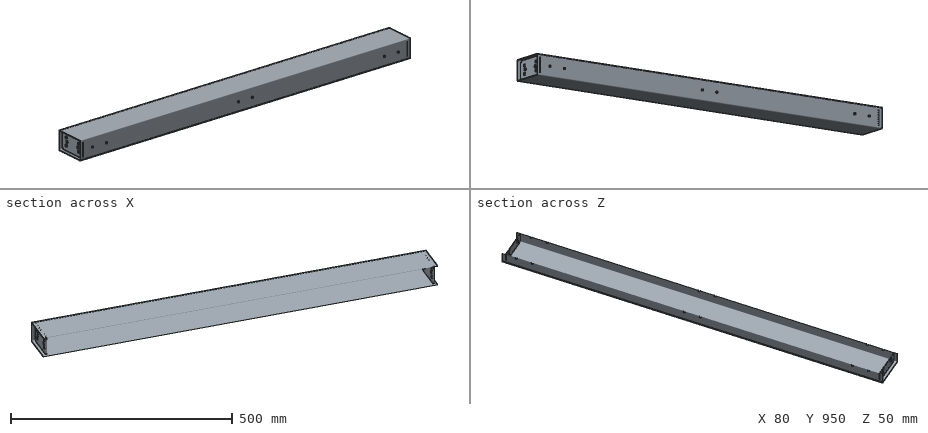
import cadquery as cq

LENGTH = 950.0
WIDTH = 80.0
HEIGHT = 50.0
WALL = 2.0
OUTER_RADIUS = WALL
INNER_RADIUS = WALL / 2

SIDE_HOLE_DIAMETER = 4.9
SIDE_HOLE_SPACING = 40.0
SIDE_PAIR_PITCH = 420.0

PLATE_THICKNESS = 2.4
PLATE_RECESS = 7.1
PLATE_GAP = 0.5
PLATE_CHAMFER = 5.0
PLATE_WIDTH = WIDTH - 2 * (WALL + PLATE_GAP)
PLATE_HEIGHT = HEIGHT - 2 * (WALL + PLATE_GAP)

MIDDLE_HOLE_DIAMETER = 7.0
MIDDLE_HOLE_SPACING = 40.0
OUTER_HOLE_DIAMETER = 6.8
OUTER_HOLE_SPACING_Z = 20.0
OUTER_HOLE_SHIFT = 2.6
OUTER_HOLE_SPACING_X = MIDDLE_HOLE_SPACING + 2 * OUTER_HOLE_SHIFT


def rounded_bar(width, height, radius):
    """Full-length bar along Y with rounded long edges."""
    return cq.Workplane("XY").box(width, LENGTH, height).edges("|Y").fillet(radius)


def side_holes():
    """Cutters along X for the cross holes."""
    places = [
        (pair * SIDE_PAIR_PITCH + side * SIDE_HOLE_SPACING / 2, 0)
        for pair in (-1, 0, 1)
        for side in (-1, 1)
    ]
    return cq.Workplane("YZ").pushPoints(places).circle(SIDE_HOLE_DIAMETER / 2).extrude(WIDTH, both=True)


def make_tube():
    outside = rounded_bar(WIDTH, HEIGHT, OUTER_RADIUS)
    bore = rounded_bar(WIDTH - 2 * WALL, HEIGHT - 2 * WALL, INNER_RADIUS)
    return outside.cut(bore).cut(side_holes())


def drill(plate, diameter, spacing_x, spacing_z, rows):
    """Drill two columns of holes through a plate, along Y."""
    places = [
        (side * spacing_x / 2, (row - (rows - 1) / 2) * spacing_z)
        for side in (-1, 1)
        for row in range(rows)
    ]
    cutters = cq.Workplane("XZ").pushPoints(places).circle(diameter / 2).extrude(PLATE_THICKNESS, both=True)
    return plate.cut(cutters)


def make_end_plate(y):
    """Plate with chamfered corners and six holes, its mid-plane at the given Y."""
    plate = cq.Workplane("XY").box(PLATE_WIDTH, PLATE_THICKNESS, PLATE_HEIGHT)
    plate = plate.edges("|Y").chamfer(PLATE_CHAMFER)
    plate = drill(plate, MIDDLE_HOLE_DIAMETER, MIDDLE_HOLE_SPACING, 0, rows=1)
    plate = drill(plate, OUTER_HOLE_DIAMETER, OUTER_HOLE_SPACING_X, OUTER_HOLE_SPACING_Z, rows=2)
    return plate.translate((0, y, 0))


tube = make_tube()
plate_y = LENGTH / 2 - PLATE_RECESS - PLATE_THICKNESS / 2
end_plates = [make_end_plate(end * plate_y) for end in (-1, 1)]

result = cq.Compound.makeCompound([tube.val(), *[plate.val() for plate in end_plates]])